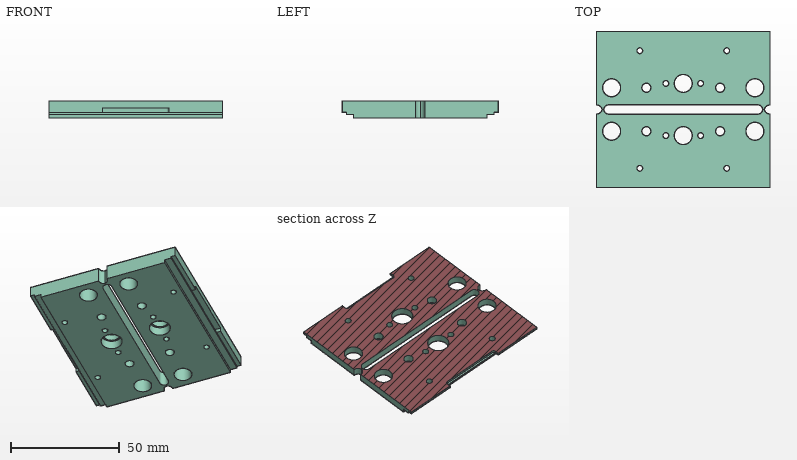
import cadquery as cq

length = 80.0
width = 72.0
thickness = 8.0

edge_rebates = ((2.0, 2.6), (5.2, 1.7))

slot_length = 73.0
slot_width = 4.2
notch_depth = 2.6
notch_straight = 0.1

corner_hole = (8.2, 33.0, 10.0)
pin_hole = (4.1, 17.0, 10.0)
small_hole = (2.6, 8.0, 12.0)
outer_hole = (2.6, 20.0, 27.0)

bore_diameter = 8.2
bore_y = small_hole[2]
counterbore_diameter = 9.6
counterbore_depth = 4.6

relief_length = 30.4
relief_top = 4.6
relief_depth = 3.0
relief_corner_radius = 1.0


def make_plate():
    plate = cq.Workplane("XY").box(length, width, thickness, centered=(True, True, False))
    for inset, height in edge_rebates:
        for side in (-1, 1):
            rebate = cq.Workplane("XY").box(length, 2 * inset, height, centered=(True, True, False))
            plate = plate.cut(rebate.translate((0, side * width / 2, 0)))
    return plate


def make_notch(side):
    edge_x = side * length / 2
    arc_x = side * (length / 2 - notch_straight)
    tip_x = side * (length / 2 - notch_depth)
    half_width = slot_width / 2
    half_notch = (
        cq.Workplane("XY")
        .moveTo(edge_x, 0)
        .lineTo(edge_x, half_width)
        .lineTo(arc_x, half_width)
        .tangentArcPoint((tip_x, 0), relative=False)
        .close()
        .extrude(thickness)
    )
    return half_notch.union(half_notch.mirror("XZ"))


def cut_slot_and_notches(plate):
    plate = plate.cut(cq.Workplane("XY").slot2D(slot_length, slot_width).extrude(thickness))
    for side in (-1, 1):
        plate = plate.cut(make_notch(side))
    return plate


def cut_mirrored_holes(plate, diameter, x, y):
    centres = [(sx * x, sy * y) for sx in (-1, 1) for sy in (-1, 1)]
    return plate.cut(cq.Workplane("XY").pushPoints(centres).circle(diameter / 2).extrude(thickness))


def cut_bores(plate):
    centres = [(0, -bore_y), (0, bore_y)]
    bores = cq.Workplane("XY").pushPoints(centres).circle(bore_diameter / 2).extrude(thickness)
    counterbores = (
        cq.Workplane("XY").pushPoints(centres).circle(counterbore_diameter / 2).extrude(counterbore_depth)
    )
    return plate.cut(bores).cut(counterbores)


def cut_side_reliefs(plate):
    floor = edge_rebates[0][1]
    for side in (-1, 1):
        relief = (
            cq.Workplane("XY", origin=(0, side * width / 2, floor))
            .rect(relief_length, 2 * relief_depth)
            .extrude(relief_top - floor)
            .edges("|Z")
            .fillet(relief_corner_radius)
        )
        plate = plate.cut(relief)
    return plate


result = make_plate()
result = cut_slot_and_notches(result)
for hole in (corner_hole, pin_hole, small_hole, outer_hole):
    result = cut_mirrored_holes(result, *hole)
result = cut_bores(result)
result = cut_side_reliefs(result)